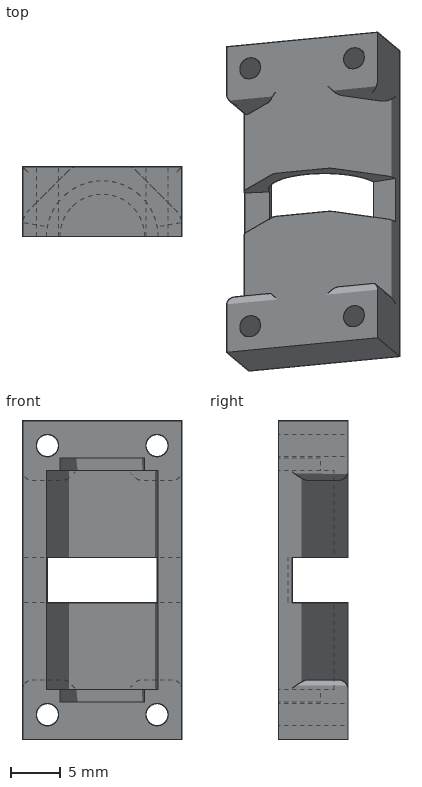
import cadquery as cq
import math

width = 16.0
depth = 7.0
height = 32.0

pocket_diameter = 11.2
pocket_length = 22.0
end_recess_diameter = 8.5
end_recess_length = 24.5

waist_length = 20.0
bevel = 5.0
side_round = 2.0
back_round = 1.0
end_round = 1.0

window_height = 4.5
window_wall_angle = 10.0

hole_diameter = 2.2
hole_spacing_x = 11.0
hole_spacing_z = 27.0


def make_block(length):
    """Full-section block with its front face at Y = 0, centred in X and Z."""
    return cq.Workplane("XY").box(width, depth, length, centered=(True, False, True))


def make_waist():
    """Middle section: 45 degree bevels on the back corners, blended into sides and back."""
    waist = make_block(waist_length + 2 * end_round)
    waist = waist.edges(">Y and |Z").chamfer(bevel)
    side_edges = waist.faces("<X or >X").edges("|Z").edges(">Y")
    waist = side_edges.fillet(side_round)
    return waist.faces(">Y").edges("|Z").fillet(back_round)


def make_end_block(side):
    """Solid end of the part, rounded where its inner face meets the sides and back."""
    length = (height - waist_length) / 2
    block = make_block(length)
    inner_face = block.faces("<Z" if side > 0 else ">Z")
    block = inner_face.edges("not <Y").fillet(end_round)
    return block.translate((0, 0, side * (height - length) / 2))


def make_cylinder(diameter, length):
    """Cylinder on the pocket axis, centred in Z."""
    return cq.Workplane("XY").circle(diameter / 2).extrude(length / 2, both=True)


def make_window():
    """Wedge-shaped opening from the pocket axis to the back, its front walls radial to that axis."""
    reach = width
    wall_rise = reach * math.tan(math.radians(window_wall_angle))
    return (
        cq.Workplane("XY")
        .polyline([(0, 0), (reach, wall_rise), (reach, reach), (-reach, reach), (-reach, wall_rise)])
        .close()
        .extrude(window_height / 2, both=True)
    )


def make_screw_holes():
    """Four through holes near the corners, along Y."""
    return (
        cq.Workplane("XZ")
        .rarray(hole_spacing_x, hole_spacing_z, 2, 2)
        .circle(hole_diameter / 2)
        .extrude(-depth)
    )


body = make_waist()
for side in (-1, 1):
    body = body.union(make_end_block(side))

body = body.cut(make_cylinder(pocket_diameter, pocket_length))
body = body.cut(make_cylinder(end_recess_diameter, end_recess_length))
body = body.cut(make_window())
result = body.cut(make_screw_holes())